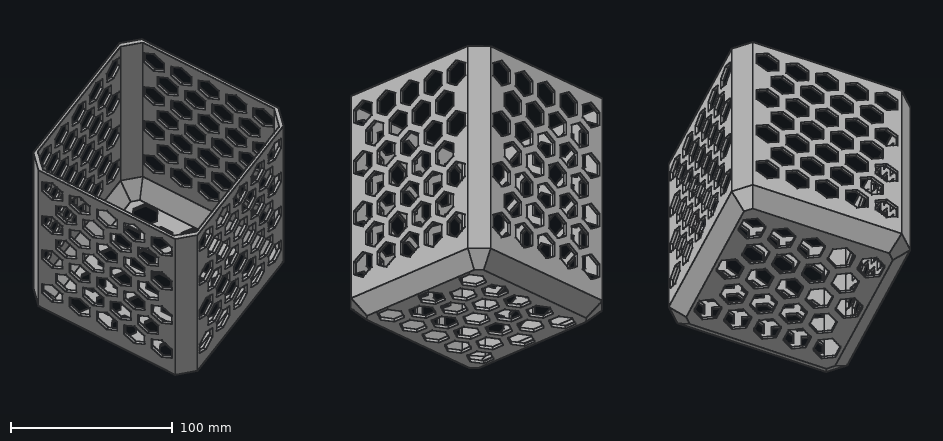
import cadquery as cq
import math

WIDTH = 120.0
HEIGHT = 150.0
CHAMFER = 10.0
WALL = 2.0

HEX_FLATS = 15.0
HEX_CORNERS = HEX_FLATS * 2 / math.sqrt(3)
HOLE_PITCH = 20.0
ROW_PITCH = 17.5
LONG_ROW_COUNT = 5
SIDE_ROWS = 7
FLOOR_ROWS = 5
SIDE_LOWEST_ROW = 30.0
SIDE_MIDDLE = SIDE_LOWEST_ROW + (SIDE_ROWS - 1) / 2 * ROW_PITCH


def chamfered_block(width, height):
    """Square block on Z = 0 with chamfered upright edges and a chamfered bottom rim."""
    block = cq.Workplane("XY").box(width, width, height, centered=(True, True, False))
    return block.edges("|Z").chamfer(CHAMFER).faces("<Z").edges().chamfer(CHAMFER)


def staggered_centres(row_count):
    """Hole centres of a staggered grid about the origin, with rows along local X."""
    centres = []
    for row in range(row_count):
        hole_count = LONG_ROW_COUNT - row % 2
        y = (row - (row_count - 1) / 2) * ROW_PITCH
        for column in range(hole_count):
            x = (column - (hole_count - 1) / 2) * HOLE_PITCH
            centres.append((x, y))
    return centres


def hex_prisms(origin, row_direction, normal, row_count, reach):
    """Hexagonal prisms on a staggered grid, reaching both ways from the origin plane."""
    plane = cq.Plane(origin=origin, xDir=row_direction, normal=normal)
    return (
        cq.Workplane(plane)
        .pushPoints(staggered_centres(row_count))
        .sketch()
        .regularPolygon(HEX_CORNERS / 2, 6)
        .finalize()
        .extrude(reach, both=True)
    )


outer = chamfered_block(WIDTH, HEIGHT)
cavity = chamfered_block(WIDTH - 2 * WALL, HEIGHT).translate((0, 0, WALL))
shell = outer.cut(cavity)

side_origin = (0, 0, SIDE_MIDDLE)
front_back_holes = hex_prisms(side_origin, (1, 0, 0), (0, -1, 0), SIDE_ROWS, WIDTH)
left_right_holes = hex_prisms(side_origin, (0, 1, 0), (1, 0, 0), SIDE_ROWS, WIDTH)
floor_holes = hex_prisms((0, 0, 0), (0, 1, 0), (0, 0, 1), FLOOR_ROWS, 2 * WALL)

result = shell.cut(front_back_holes).cut(left_right_holes).cut(floor_holes)